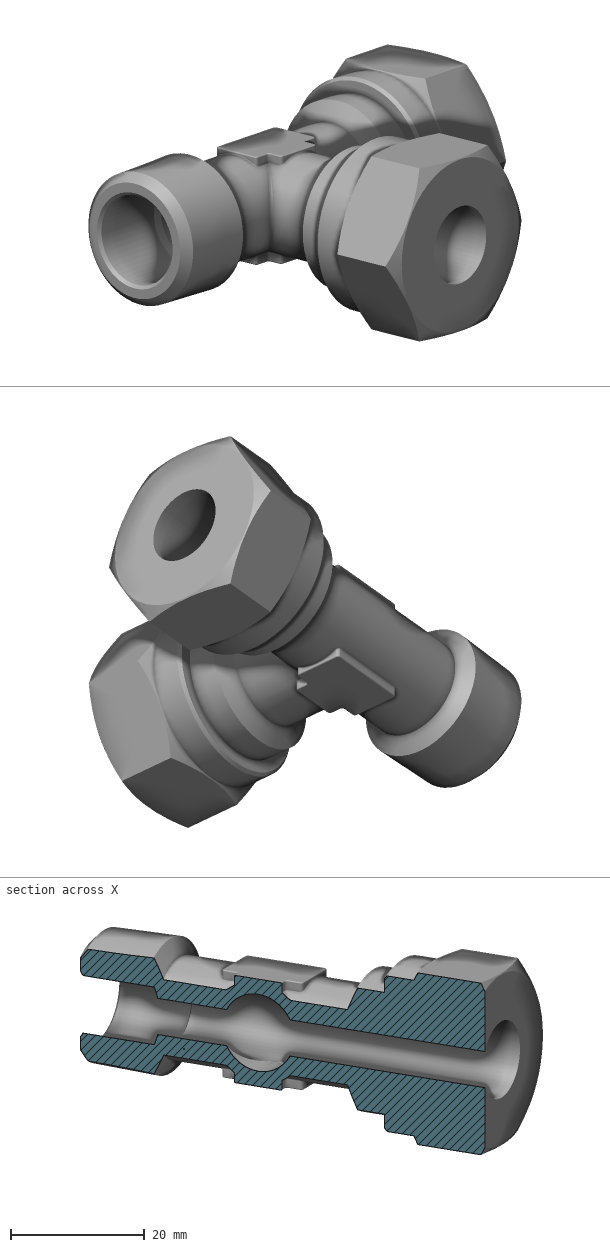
import cadquery as cq
import math

run_length = 68.25

tube_radius = 8.0
bore_radius = 6.0
junction_fillet = 0.4

shoulder_start = 15.0
neck_start = 16.7
neck_radius = 11.0
collar_start = 21.2
collar_radius = 13.4
collar_chamfer = 0.5
nut_start = 26.2
nut_end = 38.2
nut_across_flats = 27.0
nut_chamfer_radius = 13.4
nut_chamfer_angle = 30

spigot_end = run_length - nut_end
spigot_shoulder_start = 15.9
spigot_start = 17.55
spigot_base_radius = 10.6
spigot_tip_radius = 10.3
spigot_chamfer = 1.35
socket_radius = 6.95
socket_tip_angle = 118
socket_cone_length = (socket_radius - bore_radius) / math.tan(math.radians(socket_tip_angle / 2))
mouth_chamfer = 0.5

pad_height = 8.45
pad_half_width = 4.0
pad_half_length = 6.8
pad_tab_reach = 6.55
pad_corner_fillet = 0.5
pad_edge_fillet = 0.2
pad_foot_fillet = 0.2


def revolve_about_y(profile):
    """Revolve a closed (radius, y) profile about the Y axis."""
    return cq.Workplane("XY").polyline(profile).close().revolve(360, (0, 0, 0), (0, 1, 0))


def turn_to_branch(shape):
    """Turn a shape built along +Y so that it lies along +X."""
    return shape.rotate((0, 0, 0), (0, 0, 1), -90)


def make_tee_tubes():
    """Plain run and branch tubes with a small fillet along their inside corners."""
    tube_length = shoulder_start + spigot_shoulder_start
    run = cq.Workplane("XZ", origin=(0, shoulder_start, 0)).circle(tube_radius).extrude(tube_length)
    branch = cq.Workplane("YZ").circle(tube_radius).extrude(shoulder_start)
    corner_region = cq.selectors.BoxSelector(
        (tube_radius / 2, -tube_radius, -tube_radius),
        (tube_radius, tube_radius, tube_radius),
    )
    return run.union(branch).edges(corner_region).fillet(junction_fillet)


def make_nut():
    """Hexagon along Y, flats facing +Z and -Z, corners cut back by a cone at both ends."""
    corner_radius = nut_across_flats / math.sqrt(3)
    bevel = (corner_radius - nut_chamfer_radius) * math.tan(math.radians(nut_chamfer_angle))
    hexagon = (
        cq.Workplane("XZ", origin=(0, nut_end, 0))
        .polygon(6, 2 * corner_radius)
        .extrude(nut_end - nut_start)
    )
    envelope = revolve_about_y([
        (0, nut_start),
        (nut_chamfer_radius, nut_start),
        (corner_radius, nut_start + bevel),
        (corner_radius, nut_end - bevel),
        (nut_chamfer_radius, nut_end),
        (0, nut_end),
    ])
    return hexagon.intersect(envelope)


def make_nut_end():
    """Shoulder, neck, collar and nut along +Y."""
    stem = revolve_about_y([
        (0, shoulder_start),
        (tube_radius, shoulder_start),
        (neck_radius, neck_start),
        (neck_radius, collar_start),
        (collar_radius - collar_chamfer, collar_start),
        (collar_radius, collar_start + collar_chamfer),
        (collar_radius, nut_start),
        (0, nut_start),
    ])
    return stem.union(make_nut())


def make_spigot():
    """Shoulder and slightly tapered male end along -Y."""
    return revolve_about_y([
        (0, -spigot_shoulder_start),
        (tube_radius, -spigot_shoulder_start),
        (spigot_base_radius, -spigot_start),
        (spigot_tip_radius, -spigot_end + spigot_chamfer),
        (spigot_tip_radius - spigot_chamfer, -spigot_end),
        (0, -spigot_end),
    ])


def make_pads():
    """One T-shaped block whose two ends stand proud of the tubes."""
    outline = [
        (-pad_half_width, -pad_half_length),
        (pad_half_width, -pad_half_length),
        (pad_half_width, -pad_half_width),
        (pad_tab_reach, -pad_half_width),
        (pad_tab_reach, pad_half_width),
        (pad_half_width, pad_half_width),
        (pad_half_width, pad_half_length),
        (-pad_half_width, pad_half_length),
    ]
    block = cq.Workplane("XY").polyline(outline).close().extrude(pad_height, both=True)
    return block.edges("|Z").fillet(pad_corner_fillet).faces("<Z or >Z").edges().fillet(pad_edge_fillet)


def blend_pad_feet(shape):
    """Round the inside corner where the walls of both pads meet the tubes."""
    margin = 0.035
    foot_top = pad_height - pad_edge_fillet - margin
    main_foot = cq.selectors.BoxSelector(
        (-pad_half_width - margin, -pad_half_length - margin, -foot_top),
        (pad_half_width + margin, pad_half_length + margin, foot_top),
    )
    tab_foot = cq.selectors.BoxSelector(
        (pad_half_width, -pad_half_width - margin, -foot_top),
        (pad_tab_reach + margin, pad_half_width + margin, foot_top),
    )
    return shape.edges(main_foot + tab_foot).edges("not |Z").fillet(pad_foot_fillet)


def make_bores():
    """Through bore of the run with its spigot socket, and the bore of the branch."""
    run_bore = revolve_about_y([
        (0, nut_end),
        (bore_radius, nut_end),
        (bore_radius, -spigot_start + socket_cone_length),
        (socket_radius, -spigot_start),
        (socket_radius, -spigot_end + mouth_chamfer),
        (socket_radius + mouth_chamfer, -spigot_end),
        (0, -spigot_end),
    ])
    branch_bore = cq.Workplane("YZ").circle(bore_radius).extrude(nut_end)
    return run_bore.union(branch_bore)


nut_end_body = make_nut_end()
body = blend_pad_feet(make_tee_tubes().union(make_pads()))
body = body.union(nut_end_body).union(turn_to_branch(nut_end_body))
body = body.union(make_spigot())
result = body.cut(make_bores()).solids()